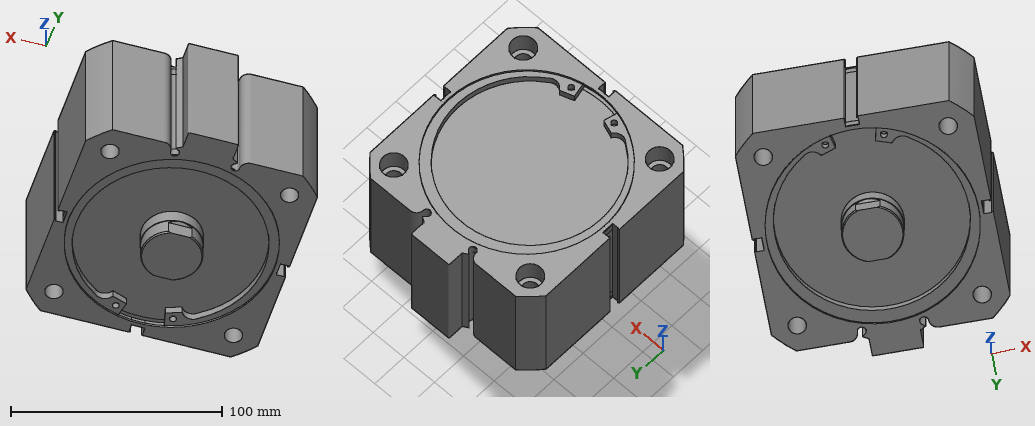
import cadquery as cq
import math

width = 115.0
half_width = width / 2
overall_depth = 124.0
height = 67.6
corner_radius = 74.4

hole_offset = 44.5
hole_diameter = 8.7
counterbore_diameter = 13.5
counterbore_depth = 12.4

slot_depth = 4.6
slot_half_width = 3.3
throat_half_width = 2.7
lip_thickness = 0.9
lip_chamfer = 0.5

rail_half_width = 12.4
rail_top = overall_depth - half_width
rail_edge_radius = 0.6
rail_tip_x = 15.3
rail_tip_y = 55.8
undercut_x = 15.0
undercut_y = 53.0
undercut_radius = 2.1
groove_wall_x = undercut_x + undercut_radius
shoulder_radius = half_width - undercut_y

bore_radius = 51.0
ring_groove_radius = 52.8
ring_groove_inset = 1.2
ring_groove_width = 4.3
cover_inset = ring_groove_inset + ring_groove_width

ring_thickness = 4.1
ring_inner_radius = 46.6
ring_eccentricity = 2.0
ring_turn = -0.6
gap_half_angle = 12.8
lug_inner_radius = 43.5
lug_tip = (17.1, -39.8)
lug_fillet_middle = (21.3, -42.5)
lug_fillet_end_x = 25.5
lug_hole_x = 14.1
lug_hole_y = -44.9
lug_hole_diameter = 3.2

rear_cover_thickness = 7.5
front_cover_thickness = 12.4
collar_radius = 15.0
collar_height = 1.4
rod_radius = 14.8
rod_projection = 9.9
rod_chamfer_length = 0.9
rod_chamfer_depth = 0.5
flat_distance = 13.5


def cylinder(radius, bottom, top):
    return cq.Workplane("XY").workplane(offset=bottom).circle(radius).extrude(top - bottom)


def sensor_slot():
    """T-shaped slot with chamfered lips, cut into the -Y side."""
    face = -half_width
    half_outline = [
        (throat_half_width + lip_chamfer, face),
        (throat_half_width, face + lip_chamfer),
        (throat_half_width, face + lip_thickness),
        (slot_half_width, face + lip_thickness),
        (slot_half_width, face + slot_depth),
    ]
    mirrored = [(-x, y) for x, y in reversed(half_outline)]
    return cq.Workplane("XY").polyline(half_outline + mirrored).close().extrude(height)


def rail():
    """Raised part of the mounting rail above the +Y side."""
    block = (
        cq.Workplane("XY")
        .center(0, (rail_top + half_width) / 2)
        .rect(2 * rail_half_width, rail_top - half_width)
        .extrude(height)
    )
    return block.edges("|Z and >Y").fillet(rail_edge_radius)


def rail_groove():
    """Undercut groove on the +X flank of the rail."""
    diagonal = undercut_radius * math.sqrt(0.5)
    shoulder_x = groove_wall_x + shoulder_radius
    shoulder_diagonal = shoulder_radius * math.sqrt(0.5)
    return (
        cq.Workplane("XY")
        .moveTo(rail_half_width, half_width)
        .lineTo(rail_tip_x, rail_tip_y)
        .lineTo(undercut_x - diagonal, undercut_y + diagonal)
        .threePointArc((undercut_x, undercut_y - undercut_radius), (groove_wall_x, undercut_y))
        .threePointArc(
            (shoulder_x - shoulder_diagonal, undercut_y + shoulder_diagonal),
            (shoulder_x, half_width),
        )
        .close()
        .extrude(height)
    )


def make_housing():
    body = cq.Workplane("XY").rect(width, width).extrude(height)
    body = body.intersect(cylinder(corner_radius, 0, height))
    body = body.union(rail())

    groove = rail_groove()
    body = body.cut(groove).cut(groove.mirror("YZ"))

    slot = sensor_slot()
    for angle in (-90, 0, 90):
        body = body.cut(slot.rotate((0, 0, 0), (0, 0, 1), angle))

    body = (
        body.faces(">Z")
        .workplane(origin=(0, 0, height))
        .rect(2 * hole_offset, 2 * hole_offset, forConstruction=True)
        .vertices()
        .cboreHole(hole_diameter, counterbore_diameter, counterbore_depth)
    )

    body = body.cut(cylinder(bore_radius, 0, height))
    for groove_bottom in (ring_groove_inset, height - cover_inset):
        groove_top = groove_bottom + ring_groove_width
        body = body.cut(cylinder(ring_groove_radius, groove_bottom, groove_top))
    return body


def make_retaining_ring(bottom):
    gap_angle = math.radians(gap_half_angle)
    gap_x = math.sin(gap_angle)
    gap_y = -math.cos(gap_angle)
    gap_outer = (ring_groove_radius * gap_x, ring_groove_radius * gap_y)
    gap_inner = (lug_inner_radius * gap_x, lug_inner_radius * gap_y)
    fillet_end_y = -ring_eccentricity - math.sqrt(ring_inner_radius**2 - lug_fillet_end_x**2)

    ring = (
        cq.Workplane("XY")
        .workplane(offset=bottom)
        .moveTo(*gap_outer)
        .lineTo(*gap_inner)
        .lineTo(*lug_tip)
        .threePointArc(lug_fillet_middle, (lug_fillet_end_x, fillet_end_y))
        .threePointArc((0, ring_inner_radius - ring_eccentricity), (-lug_fillet_end_x, fillet_end_y))
        .threePointArc((-lug_fillet_middle[0], lug_fillet_middle[1]), (-lug_tip[0], lug_tip[1]))
        .lineTo(-gap_inner[0], gap_inner[1])
        .lineTo(-gap_outer[0], gap_outer[1])
        .threePointArc((0, ring_groove_radius), gap_outer)
        .close()
        .extrude(ring_thickness)
    )
    holes = (
        cq.Workplane("XY")
        .workplane(offset=bottom)
        .pushPoints([(-lug_hole_x, lug_hole_y), (lug_hole_x, lug_hole_y)])
        .circle(lug_hole_diameter / 2)
        .extrude(ring_thickness)
    )
    return ring.cut(holes).rotate((0, 0, 0), (0, 0, 1), ring_turn)


def make_rear_cover():
    top = height - cover_inset
    return cylinder(bore_radius, top - rear_cover_thickness, top)


def make_front_cover():
    """Disc with a collar that guides the rod out of the housing."""
    top = cover_inset + front_cover_thickness
    cover = cylinder(bore_radius, cover_inset, top)
    cover = cover.union(cylinder(collar_radius, -collar_height, cover_inset))
    return cover.cut(cylinder(rod_radius, -collar_height, top))


def make_rod():
    """Round rod up to the rear cover, with a chamfered end and wrench flats facing -Y and +Y."""
    end = -rod_projection
    top = height - cover_inset - rear_cover_thickness
    rod = (
        cq.Workplane("XZ")
        .moveTo(0, end)
        .lineTo(rod_radius - rod_chamfer_depth, end)
        .lineTo(rod_radius, end + rod_chamfer_length)
        .lineTo(rod_radius, top)
        .lineTo(0, top)
        .close()
        .revolve(360, (0, 0, 0), (0, 1, 0))
    )
    flat_depth = rod_radius - flat_distance
    flat_cut = (
        cq.Workplane("YZ")
        .moveTo(flat_distance, end)
        .lineTo(flat_distance, -collar_height - flat_depth)
        .lineTo(rod_radius, -collar_height)
        .lineTo(rod_radius, end)
        .close()
        .extrude(rod_radius, both=True)
    )
    return rod.cut(flat_cut).cut(flat_cut.mirror("XZ"))


housing = make_housing()
rear_cover = make_rear_cover()
front_cover = make_front_cover()
rod = make_rod()

ring_bottoms = (cover_inset - ring_thickness, height - cover_inset)
retaining_rings = [make_retaining_ring(bottom) for bottom in ring_bottoms]

result = cq.Compound.makeCompound(
    [
        housing.val(),
        rear_cover.val(),
        front_cover.val(),
        rod.val(),
        *[ring.val() for ring in retaining_rings],
    ]
)